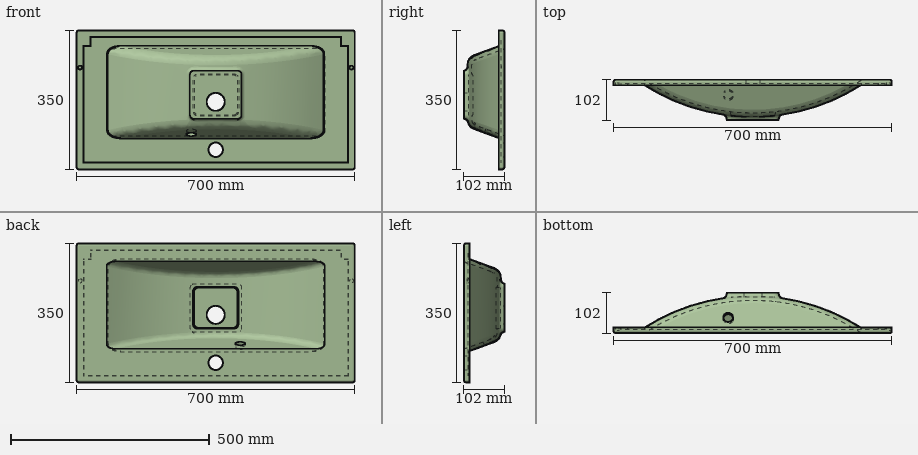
import cadquery as cq
import math

wall_draft = 15.0

total_depth = 102.0
slab_length = 700.0
slab_height = 350.0
slab_thickness = 15.0
slab_corner_radius = 7.0
rim_fillet = 6.0

recess_depth = 5.0
recess_half_length = 333.0
recess_half_height = 158.0
recess_step_half_length = 315.0
recess_step_z = 136.0

wall_thickness = 10.5
basin_depth = 79.0
basin_half_length = 271.0
basin_middle_z = 19.5
basin_half_height = 115.5
wall_slope = 20.0
basin_edge_radius = 27.0

boss_length = 129.5
boss_top_z = 73.5
boss_bottom_z = -47.5
boss_corner_radius = 10.0
boss_base_fillet = 9.0
boss_depth = total_depth - slab_thickness
drain_diameter = 45.0
drain_z = -5.0

tap_diameter = 36.0
tap_z = -125.0
overflow_diameter = 24.5
overflow_x = -61.5
overflow_z = -87.0
fixing_diameter = 10.0
fixing_depth = 7.0
fixing_x = 341.0
fixing_z = 81.0

floor_radius = (basin_half_length**2 + basin_depth**2) / (2 * basin_depth)
slope_angle = math.radians(wall_slope)
overlap = 21.0


def front_plane(y):
    """Plane at the given y, facing -Y, with local x along +X and local y along +Z."""
    return cq.Workplane("XZ", origin=(0, y, 0))


def make_slab():
    slab = front_plane(slab_thickness).rect(slab_length, slab_height).extrude(slab_thickness)
    slab = slab.edges("|Y").fillet(slab_corner_radius)
    return slab.faces(">Y").edges().fillet(rim_fillet)


def make_recess():
    half_outline = [
        (0, -recess_half_height),
        (recess_half_length, -recess_half_height),
        (recess_half_length, recess_step_z),
        (recess_step_half_length, recess_step_z),
        (recess_step_half_length, recess_half_height),
        (0, recess_half_height),
    ]
    return front_plane(0).polyline(half_outline).mirrorY().extrude(-recess_depth, taper=wall_draft)


def make_bowl(inset, back_y):
    """Solid bowl shrunk by inset on every side and cut flat at back_y."""
    back = slab_thickness + overlap
    front = -basin_depth - overlap

    def half_height(y):
        return basin_half_height + y * math.tan(slope_angle) - inset / math.cos(slope_angle)

    profile = [
        (back, basin_middle_z - half_height(back)),
        (back, basin_middle_z + half_height(back)),
        (front, basin_middle_z + half_height(front)),
        (front, basin_middle_z - half_height(front)),
    ]
    wedge = cq.Workplane("YZ").polyline(profile).close().extrude(slab_length / 2, both=True)
    floor = (
        cq.Workplane("XY", origin=(0, floor_radius - basin_depth, -slab_height))
        .circle(floor_radius - inset)
        .extrude(2 * slab_height)
    )
    bowl = wedge.intersect(floor)
    bowl = bowl.faces("<Y").edges("not |Z").fillet(basin_edge_radius - inset)
    keep = front_plane(back_y).rect(slab_length, slab_height).extrude(2 * basin_depth)
    return bowl.intersect(keep)


def make_collar():
    """Short flared step that joins the bowl to the floor of the recess."""
    flare = recess_depth * math.tan(math.radians(wall_draft))
    front_edge = make_bowl(0, 0).faces(">Y").wires().val()
    floor_edge = make_bowl(-flare, 0).faces(">Y").wires().val().translate(cq.Vector(0, recess_depth, 0))
    return cq.Workplane(cq.Solid.makeLoft([front_edge, floor_edge], True))


def make_boss(inset):
    """Tapered block from its outer face back into the bowl, shrunk by inset on every side."""
    return (
        front_plane(inset - boss_depth)
        .center(0, (boss_top_z + boss_bottom_z) / 2)
        .sketch()
        .rect(boss_length - 2 * inset, boss_top_z - boss_bottom_z - 2 * inset)
        .vertices()
        .fillet(boss_corner_radius)
        .finalize()
        .extrude(-boss_depth / 2, taper=-wall_draft)
    )


def fillet_boss_base(body):
    """Round the closed edge where the boss leaves the bowl."""
    margin = (boss_depth - basin_depth) / 2
    reach_x = boss_length / 2 + overlap / 2
    low_corner = (-reach_x, margin - boss_depth, boss_bottom_z - overlap / 2)
    high_corner = (reach_x, margin - basin_depth + overlap / 2, boss_top_z + overlap / 2)
    return body.edges(cq.selectors.BoxSelector(low_corner, high_corner)).fillet(boss_base_fillet)


def make_hole(diameter, x, z, back_y, length):
    return front_plane(back_y).center(x, z).circle(diameter / 2).extrude(length)


def make_overflow():
    """Hole square to the lower basin wall."""
    wall_y = (basin_middle_z - basin_half_height - overflow_z) / math.tan(slope_angle)
    outward = cq.Vector(0, -math.sin(slope_angle), -math.cos(slope_angle))
    start = cq.Vector(overflow_x, wall_y, overflow_z) - outward * (wall_thickness + overlap)
    length = wall_thickness + 2 * overlap
    return cq.Workplane(cq.Solid.makeCylinder(overflow_diameter / 2, length, start, outward))


bowl_outside = fillet_boss_base(make_bowl(0, 0).union(make_boss(0)))
result = make_slab().cut(make_recess()).union(make_collar()).union(bowl_outside)

result = result.cut(make_bowl(wall_thickness, slab_thickness))
result = result.cut(make_boss(wall_thickness))

well_floor_y = wall_thickness - boss_depth
result = result.cut(make_hole(drain_diameter, 0, drain_z, well_floor_y + overlap, 2 * overlap))
result = result.cut(make_hole(tap_diameter, 0, tap_z, slab_thickness, slab_thickness))
result = result.cut(make_overflow())

for side in (-1, 1):
    result = result.cut(make_hole(fixing_diameter, side * fixing_x, fixing_z, fixing_depth, fixing_depth))

result = result.solids()